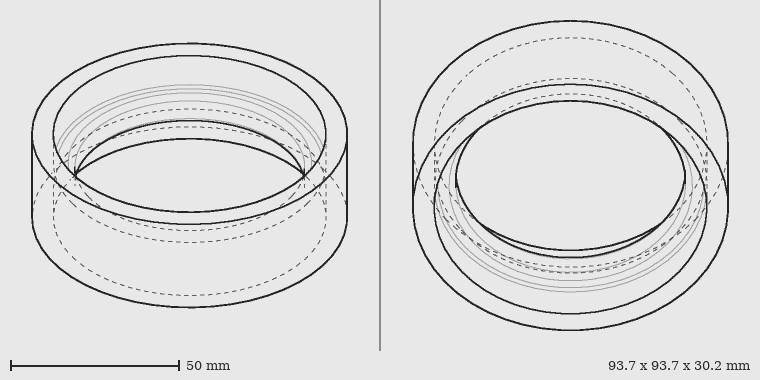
import math

import cadquery as cq

outer_diameter = 93.66
height = 30.16
wall_thickness = 6.35
lip_depth = 6.35
lip_root_thickness = 7.14375
lip_slope_angle = 15.0
lip_edge_radius = 1.5875
lip_root_radius = 0.79375

outer_radius = outer_diameter / 2
recess_radius = outer_radius - wall_thickness
bore_radius = recess_radius - lip_depth
half_height = height / 2
lip_root_z = lip_root_thickness / 2
lip_edge_z = lip_root_z + lip_depth * math.tan(math.radians(lip_slope_angle))


def make_sharp_ring():
    """Revolve the wall and its inner lip, with sharp corners, about the Z axis."""
    return (
        cq.Workplane("XZ")
        .moveTo(-outer_radius, -half_height)
        .lineTo(-outer_radius, half_height)
        .lineTo(-recess_radius, half_height)
        .lineTo(-recess_radius, lip_root_z)
        .lineTo(-bore_radius, lip_edge_z)
        .lineTo(-bore_radius, -lip_edge_z)
        .lineTo(-recess_radius, -lip_root_z)
        .lineTo(-recess_radius, -half_height)
        .close()
        .revolve(360, (0, 0, 0), (0, 1, 0))
    )


def round_circular_edges(ring, circle_radius, z_level, fillet_radius):
    """Fillet the circular edges of one size lying at +z_level and -z_level."""
    margin = 0.01
    for z in (z_level, -z_level):
        reach = circle_radius + margin
        box = cq.selectors.BoxSelector(
            (-reach, -reach, z - margin),
            (reach, reach, z + margin),
            boundingbox=True,
        )
        ring = ring.edges("%CIRCLE").edges(box).fillet(fillet_radius)
    return ring


ring = make_sharp_ring()
ring = round_circular_edges(ring, bore_radius, lip_edge_z, lip_edge_radius)
ring = round_circular_edges(ring, recess_radius, lip_root_z, lip_root_radius)

result = ring